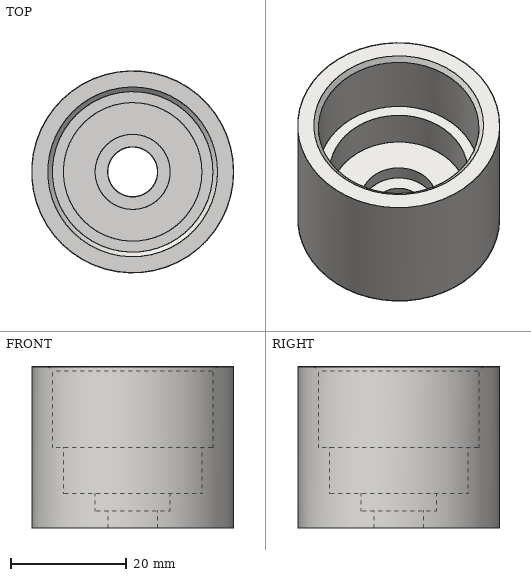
import cadquery as cq

outer_diameter = 35.0
height = 28.0

bore_diameter = 27.8
bore_depth = 14.0
mouth_chamfer = 0.8

pocket_diameter = 24.0
floor_thickness = 6.0

counterbore_diameter = 13.0
counterbore_depth = 3.0
hole_diameter = 8.6


def bore_from(body, top_z, bottom_z, diameter):
    """Cut a round hole on the Z axis between two heights."""
    cutter = (
        cq.Workplane("XY")
        .workplane(offset=bottom_z)
        .circle(diameter / 2)
        .extrude(top_z - bottom_z)
    )
    return body.cut(cutter)


def chamfer_mouth(body):
    """Cut a 45 degree cone at the top rim of the main bore."""
    bore_radius = bore_diameter / 2
    cone = cq.Solid.makeCone(
        bore_radius,
        bore_radius + mouth_chamfer,
        mouth_chamfer,
        pnt=cq.Vector(0, 0, height - mouth_chamfer),
    )
    return body.cut(cq.Workplane(obj=cone))


bore_floor_z = height - bore_depth
counterbore_floor_z = floor_thickness - counterbore_depth

sleeve = cq.Workplane("XY").circle(outer_diameter / 2).extrude(height)
sleeve = bore_from(sleeve, height, bore_floor_z, bore_diameter)
sleeve = bore_from(sleeve, bore_floor_z, floor_thickness, pocket_diameter)
sleeve = bore_from(sleeve, floor_thickness, counterbore_floor_z, counterbore_diameter)
sleeve = bore_from(sleeve, counterbore_floor_z, 0, hole_diameter)

result = chamfer_mouth(sleeve)